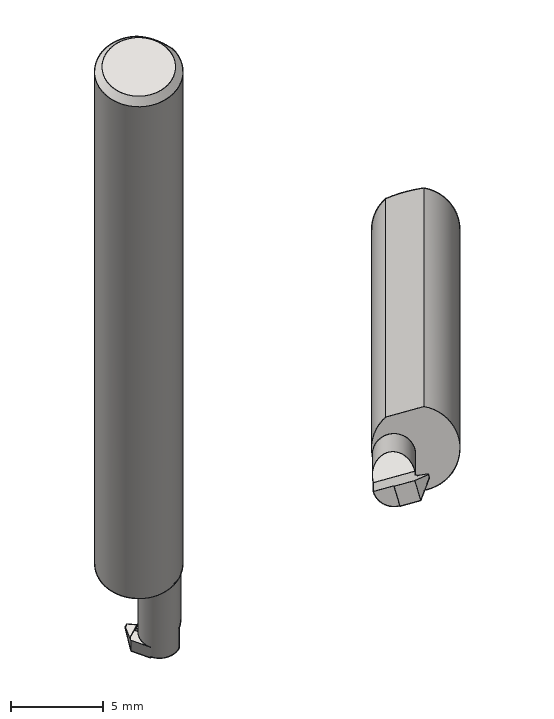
import cadquery as cq

total_length = 50.8
shank_radius = 2.4
flat_offset = 2.15
shank_bottom = 6.4
shank_chamfer = 0.4

neck_radius = 1.15
neck_center_x = shank_radius - neck_radius
neck_bottom = 0.1
relief_inner_z = 1.9
relief_outer_z = 2.8

head_left = neck_center_x - neck_radius
head_right = 1.2
head_height = 0.95
head_depth = neck_radius
tip_reach = 0.7
tip_bottom = 0.45
tip_top = 0.6
tip_land = 0.2
shoulder_height = 1.2
shoulder_start = -0.1
shoulder_base = 0.85
shoulder_overlap = 0.1


def make_shank():
    shank = (
        cq.Workplane("XY", origin=(0, 0, shank_bottom))
        .circle(shank_radius)
        .extrude(total_length - shank_bottom)
        .faces(">Z")
        .chamfer(shank_chamfer)
    )
    flat_envelope = cq.Workplane("XY").box(
        2 * shank_radius, shank_radius + flat_offset, total_length, centered=(True, False, False)
    ).translate((0, -shank_radius, 0))
    return shank.intersect(flat_envelope)


def make_neck():
    neck = (
        cq.Workplane("XY", origin=(neck_center_x, 0, neck_bottom))
        .circle(neck_radius)
        .extrude(shank_bottom - neck_bottom)
    )
    relief = (
        cq.Workplane("YZ")
        .polyline([(0, 0), (0, relief_inner_z), (neck_radius, relief_outer_z), (neck_radius, 0)])
        .close()
        .extrude(shank_radius)
    )
    return neck.cut(relief)


def make_head():
    shoulder_end = head_left + shoulder_overlap
    head = (
        cq.Workplane("XZ")
        .moveTo(head_right, 0)
        .lineTo(head_left, 0)
        .lineTo(-tip_reach, tip_bottom)
        .lineTo(-tip_reach, tip_top)
        .lineTo(shoulder_start, shoulder_base)
        .lineTo(head_left, shoulder_height)
        .lineTo(shoulder_end, shoulder_height)
        .lineTo(shoulder_end, head_height)
        .lineTo(head_right, head_height)
        .close()
        .extrude(head_depth)
    )
    clearance_outline = (
        cq.Workplane("XY")
        .polyline([(-tip_reach, 0), (-tip_reach, -tip_land), (head_left, -head_depth),
                   (head_right, -head_depth), (head_right, 0)])
        .close()
        .extrude(head_height)
    )
    shoulder_depth = (neck_radius**2 - (neck_radius - shoulder_overlap)**2) ** 0.5
    shoulder_envelope = cq.Workplane("XY").box(
        shoulder_end - shoulder_start, shoulder_depth, shoulder_height, centered=False
    ).translate((shoulder_start, -shoulder_depth, 0))
    return head.intersect(clearance_outline.union(shoulder_envelope))


result = make_shank().union(make_neck()).union(make_head())